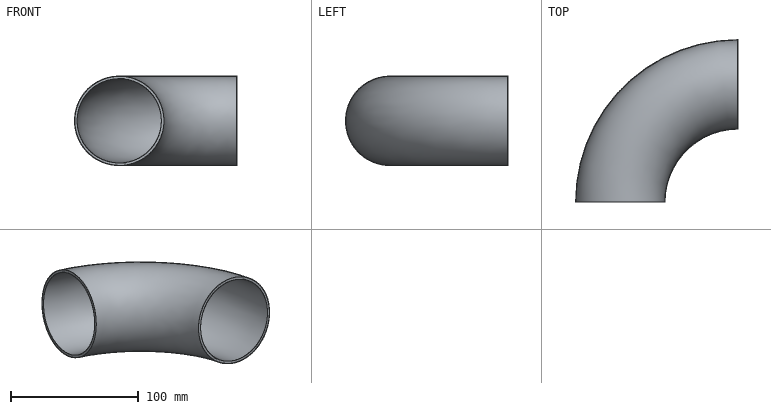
import cadquery as cq

overall_reach = 127.0
outer_diameter = 70.0
wall_thickness = 2.0
bend_angle = 90.0

outer_radius = outer_diameter / 2
inner_radius = outer_radius - wall_thickness
bend_radius = overall_reach - outer_radius

pipe_section = (
    cq.Workplane("XZ")
    .center(-bend_radius, 0)
    .circle(outer_radius)
    .circle(inner_radius)
)

axis_start = (bend_radius, 0)
axis_end = (bend_radius, -1)
result = pipe_section.revolve(bend_angle, axis_start, axis_end)